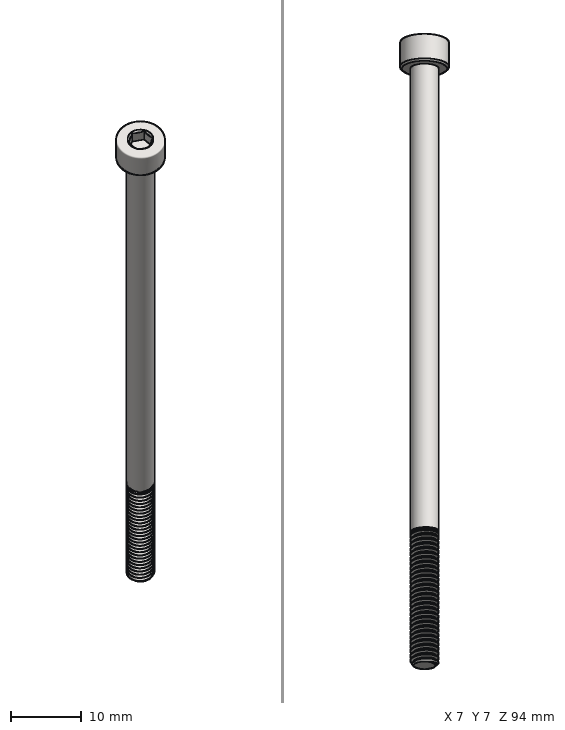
import cadquery as cq
import math

total_length = 94.0
head_height = 4.0
head_diameter = 7.0
shank_diameter = 4.0
head_edge_radius = 0.2
head_bottom_chamfer = 0.3

socket_across_flats = 3.0
socket_depth = 2.0
socket_corner_diameter = socket_across_flats / math.cos(math.pi / 6)
socket_rotation = 30
socket_mouth_diameter = 3.7
socket_mouth_chamfer = 0.3

full_thread_turns = 29
runout_turns = 1.5
thread_start_drop = 0.9
straight_helix_angle = 360
thread_pitch = 0.7
thread_depth = 0.45
crest_width = thread_pitch / 8
root_width = thread_pitch / 4
tip_chamfer = 0.5
cutter_overlap = 0.1

shank_length = total_length - head_height
shank_radius = shank_diameter / 2


def make_head():
    head = cq.Workplane("XY").workplane(offset=shank_length).circle(head_diameter / 2).extrude(head_height)
    return head.faces(">Z").edges().fillet(head_edge_radius).faces("<Z").edges().chamfer(head_bottom_chamfer)


def make_shank():
    shank = cq.Workplane("XY").circle(shank_radius).extrude(shank_length + cutter_overlap)
    return shank.faces("<Z").edges().chamfer(tip_chamfer)


def make_socket():
    hexagon = (
        cq.Workplane("XY").workplane(offset=total_length - socket_depth)
        .polygon(6, socket_corner_diameter).extrude(socket_depth)
        .rotate((0, 0, 0), (0, 0, 1), socket_rotation)
    )
    mouth_radius = socket_mouth_diameter / 2
    mouth = cq.Workplane("XY").add(
        cq.Solid.makeCone(
            mouth_radius - socket_mouth_chamfer, mouth_radius, socket_mouth_chamfer,
            pnt=cq.Vector(0, 0, total_length - socket_mouth_chamfer),
        )
    )
    return hexagon.union(mouth)


def make_helical_cutter(start_z, height, cone_angle):
    root_radius = shank_radius - thread_depth
    outer_radius = shank_radius + cutter_overlap
    half_root = root_width / 2
    flank_slope = ((thread_pitch - crest_width) / 2 - half_root) / thread_depth
    half_mouth = half_root + flank_slope * (outer_radius - root_radius)
    path = cq.Wire.makeHelix(
        thread_pitch, height, shank_radius, center=cq.Vector(0, 0, start_z), angle=cone_angle
    )
    profile = cq.Workplane("XZ").polyline([
        (root_radius, start_z - half_root),
        (outer_radius, start_z - half_mouth),
        (outer_radius, start_z + half_mouth),
        (root_radius, start_z + half_root),
    ]).close()
    return profile.sweep(cq.Workplane("XY").add(path), isFrenet=True)


def cut_thread(shank):
    start_z = -thread_start_drop
    full_height = full_thread_turns * thread_pitch
    runout_height = runout_turns * thread_pitch
    runout_angle = math.degrees(math.atan2(thread_depth, runout_height))
    full_groove = make_helical_cutter(start_z, full_height, straight_helix_angle)
    runout_groove = make_helical_cutter(start_z + full_height, runout_height, runout_angle)
    return shank.cut(full_groove).cut(runout_groove)


screw = cut_thread(make_shank()).union(make_head()).cut(make_socket())
result = cq.Workplane("XY").add(screw.solids().vals()[0])